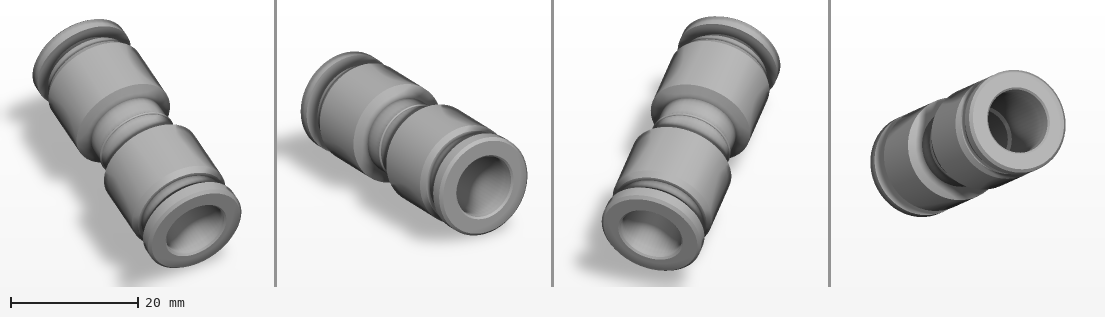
import cadquery as cq

length = 41.7
half_length = length / 2
outer_radius = 16.4 / 2

collar_width = 2.2
collar_chamfer = 0.45
neck_radius = 6.0
neck_width = 1.35
ring_radius = 7.0
ring_width = 1.55

body_length = 12.05
body_lead_length = 1.0
body_lead_depth = 0.6
body_cone_length = 1.13
waist_radius = 6.25
ridge_radius = 6.5
ridge_width = 0.4

bore_radius = 4.5
socket_radius = 5.05
socket_depth = 15.0
stop_length = 0.35
mouth_chamfer = 0.3

collar_back = half_length - collar_width
neck_back = collar_back - neck_width
body_front = neck_back - ring_width
body_back = body_front - body_length

half_outline = [
    (half_length - socket_depth - stop_length, bore_radius),
    (half_length - socket_depth, socket_radius),
    (half_length - mouth_chamfer, socket_radius),
    (half_length, socket_radius + mouth_chamfer),
    (half_length, outer_radius - collar_chamfer),
    (half_length - collar_chamfer, outer_radius),
    (collar_back, outer_radius),
    (collar_back, neck_radius),
    (neck_back, neck_radius),
    (neck_back, ring_radius),
    (body_front, ring_radius),
    (body_front, outer_radius - body_lead_depth),
    (body_front - body_lead_length, outer_radius),
    (body_back + body_cone_length, outer_radius),
    (body_back, waist_radius),
    (ridge_width / 2, waist_radius),
]
mirrored_outline = [(-x, radius) for x, radius in reversed(half_outline)]

result = (
    cq.Workplane("XY")
    .polyline(mirrored_outline + half_outline)
    .threePointArc((0, ridge_radius), (-ridge_width / 2, waist_radius))
    .close()
    .revolve(360, (0, 0, 0), (1, 0, 0))
)